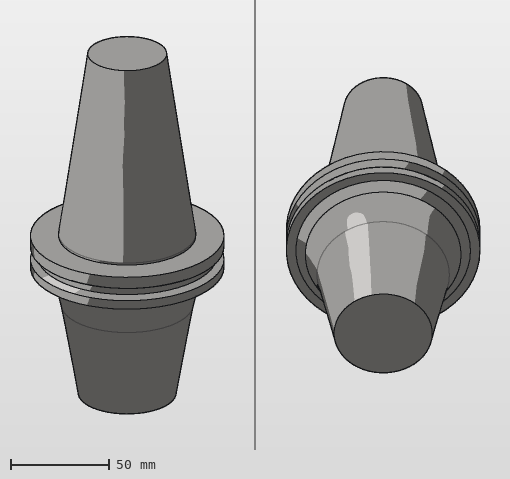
import cadquery as cq

total_height = 191.3
nose_cone_top = 50.1
neck_top = 67.3
flange_bottom = 70.8
groove_mouth_bottom = 75.5
groove_floor_bottom = 77.3
groove_floor_top = 80.7
groove_mouth_top = 82.5
flange_top = 88.8
taper_bottom = 90.0

nose_diameter = 50.0
nose_cone_top_diameter = 67.3
neck_top_diameter = 79.2
flange_underside_diameter = 88.8
flange_diameter = 98.5
groove_diameter = 91.3
gauge_diameter = 69.8

taper_ratio = 7 / 24
taper_tip_diameter = gauge_diameter - taper_ratio * (total_height - taper_bottom)

profile = (
    cq.Workplane("XZ")
    .lineTo(nose_diameter / 2, 0)
    .lineTo(nose_cone_top_diameter / 2, nose_cone_top)
    .tangentArcPoint((neck_top_diameter / 2, neck_top), relative=False)
    .lineTo(flange_underside_diameter / 2, flange_bottom)
    .lineTo(flange_diameter / 2, flange_bottom)
    .lineTo(flange_diameter / 2, groove_mouth_bottom)
    .lineTo(groove_diameter / 2, groove_floor_bottom)
    .lineTo(groove_diameter / 2, groove_floor_top)
    .lineTo(flange_diameter / 2, groove_mouth_top)
    .lineTo(flange_diameter / 2, flange_top)
    .lineTo(gauge_diameter / 2, flange_top)
    .lineTo(gauge_diameter / 2, taper_bottom)
    .lineTo(taper_tip_diameter / 2, total_height)
    .lineTo(0, total_height)
    .close()
)

result = profile.revolve(360, (0, 0, 0), (0, 1, 0))